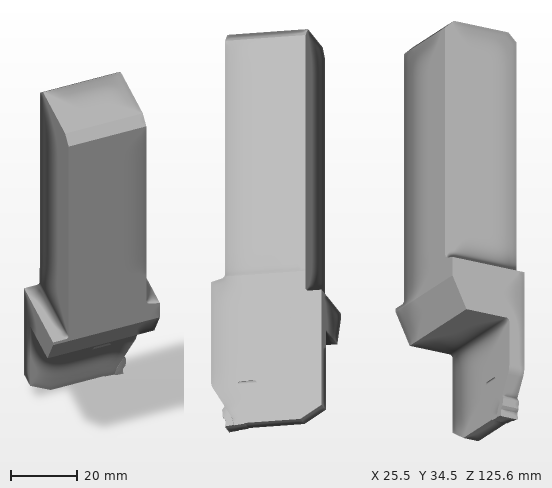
import cadquery as cq
import math

total_height = 125.6
shank_width = 25.1
shank_chamfer = 3.0
shank_chamfer_height = 2.8

head_back = -5.0
head_front = 29.5
head_bottom = 1.0
back_ledge_height = 41.6
back_ledge_fillet = 0.9
front_ledge_height = 46.5
front_ledge_slope = math.radians(15)
front_ledge_fillet = 1.5
back_corner_width = 6.7
back_corner_height = 5.0
front_corner_fillet = 5.0

blade_thickness = 5.3
relief_roof = 30.4
relief_fillet = 1.0
heel_x = 20.2
heel_top = 40.5

side_step = 0.19
side_step_bottom = 48.0
side_step_top = 49.0

tip_overhang = 0.4
tip_top = 6.8
insert_top = 14.3
insert_bevel_height = 0.8
insert_bevel_depth = 0.31

nose_start = (29.5, 13.8)
nose_upper = (25.2, tip_top)
nose_middle = (23.0, 3.1)
nose_lower = (22.2, 0.5)


def prism_along_x(outline, x_start, x_end):
    """Extrude a (Y, Z) outline between two X positions."""
    plane = cq.Workplane("YZ", origin=(x_start, 0, 0))
    return plane.polyline(outline).close().extrude(x_end - x_start)


def prism_along_y(outline):
    """Extrude an (X, Z) outline across the full depth of the head."""
    plane = cq.Workplane("XZ", origin=(0, head_front, 0))
    return plane.polyline(outline).close().extrude(head_front - head_back)


def make_insert_body():
    """Wedge-shaped part of the insert, flush with the blade sides."""
    outline = [
        nose_upper,
        (24.5, 7.5),
        (23.2, 11.7),
        (21.2, insert_top - insert_bevel_height),
        (20.7, insert_top),
        (15.7, insert_top),
        (15.0, 13.3),
        (15.1, 10.4),
        (18.5, 1.3),
        (19.2, 0.8),
        nose_lower,
        nose_middle,
    ]
    return prism_along_x(outline, 0, blade_thickness)


def make_insert_tip():
    """Cutting tip ahead of the nose line, widening toward the cutting edge."""
    outline = [
        nose_upper,
        nose_middle,
        nose_lower,
        (24.9, 0.3),
        (25.0, 0.0),
        (24.9, 2.3),
        (25.7, 3.3),
        (26.0, 5.7),
    ]
    tip = prism_along_x(outline, -tip_overhang, blade_thickness + tip_overhang)
    taper = prism_along_y([
        (-tip_overhang, 0),
        (blade_thickness + tip_overhang, 0),
        (blade_thickness, tip_top),
        (0, tip_top),
    ])
    return tip.intersect(taper)


def bevel_insert_top(insert):
    """Slope both sides of the insert's upper end inward."""
    for side_x, inward in ((0, 1), (blade_thickness, -1)):
        insert = insert.cut(prism_along_y([
            (side_x, insert_top - insert_bevel_height),
            (side_x, insert_top),
            (side_x + inward * insert_bevel_depth, insert_top),
        ]))
    return insert


def make_holder_blank():
    """Shank and head outline, with the ledges and the nose."""
    ledge_rise = (head_front - shank_width) * math.tan(front_ledge_slope)
    front_ledge_root = front_ledge_height + ledge_rise
    outline = [
        (0, total_height),
        (shank_width, total_height),
        (shank_width, front_ledge_root),
        (head_front, front_ledge_height),
        nose_start,
        nose_upper,
        nose_middle,
        (nose_lower[0], head_bottom),
        (head_back + back_corner_width, head_bottom),
        (head_back, back_corner_height),
        (head_back, back_ledge_height),
        (0, back_ledge_height),
    ]
    blank = prism_along_x(outline, 0, shank_width)
    mid_x = shank_width / 2
    for y, z, radius in (
        (0, back_ledge_height, back_ledge_fillet),
        (shank_width, front_ledge_root, front_ledge_fillet),
        (*nose_start, front_corner_fillet),
    ):
        blank = blank.edges(cq.selectors.NearestToPointSelector((mid_x, y, z))).fillet(radius)
    return blank


def make_side_outline():
    """Front-to-back prism giving the shank end, side step, heel and blade."""
    blade_root = (blade_thickness, relief_roof)
    step_height = side_step_top - side_step_bottom
    step_radius = (step_height**2 + side_step**2) / (2 * side_step)
    prism = (
        cq.Workplane("XZ", origin=(0, head_front, 0))
        .moveTo(0, head_bottom)
        .lineTo(0, side_step_bottom)
        .radiusArc((side_step, side_step_top), -step_radius)
        .lineTo(side_step, total_height - shank_chamfer_height)
        .lineTo(shank_chamfer, total_height)
        .lineTo(shank_width - shank_chamfer, total_height)
        .lineTo(shank_width, total_height - shank_chamfer_height)
        .lineTo(shank_width, heel_top)
        .lineTo(heel_x, relief_roof)
        .lineTo(*blade_root)
        .lineTo(blade_thickness, head_bottom)
        .close()
        .extrude(head_front - head_back)
    )
    mid_y = (head_back + head_front) / 2
    root_edge = cq.selectors.NearestToPointSelector((blade_root[0], mid_y, blade_root[1]))
    return prism.edges(root_edge).fillet(relief_fillet)


insert_body = make_insert_body()
insert = bevel_insert_top(insert_body.union(make_insert_tip()))
holder = make_holder_blank().intersect(make_side_outline()).cut(insert_body)

result = cq.Compound.makeCompound([holder.val(), insert.val()])